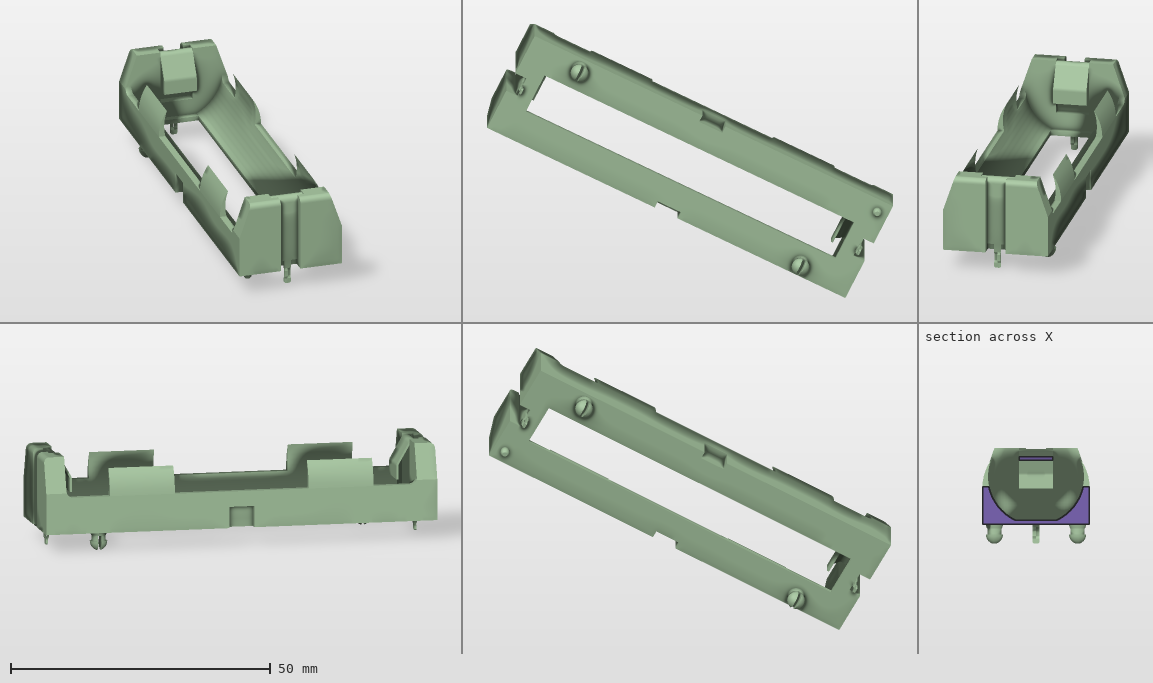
import cadquery as cq
import math

LENGTH = 77.05
WIDTH = 20.65
HEIGHT = 14.8

END_WALL = 4.0
RAIL_TOP = 7.2
TAPER_START = 8.0
TAPER_INSET = 2.3
TOP_ROUND = 1.1
RAIL_FILLET = 1.3

CELL_RADIUS = 9.25
CELL_AXIS_Z = CELL_RADIUS
WINDOW_WIDTH = 8.1
SILL_LENGTH = 1.2
SILL_HEIGHT = 0.9

CLIP_LENGTH = 12.8
CLIP_CENTER_X = 19.6
CLIP_TOP = 12.4

NOTCH_WIDTH = 4.9
NOTCH_HEIGHT = 4.15
NOTCH_DEPTH = 1.4

PEG_X = 27.75
PEG_Y = 8.0
PEG_COLLAR_RADIUS = 1.7
PEG_COLLAR_TIP_RADIUS = 1.5
PEG_COLLAR_HEIGHT = 0.7
PEG_NECK_RADIUS = 1.4
PEG_HEAD_RADIUS = 1.7
PEG_HEAD_START = 1.85
PEG_TIP_RADIUS = 0.55
PEG_SLIT = 0.7
LEG_DEPTH = 3.6
BOSS_X = 36.3
BOSS_RADIUS = 0.85
BOSS_STRAIGHT = 0.7
BOSS_TIP_RADIUS = 0.5
BOSS_DEPTH = 1.55

SHEET = 0.4
CONTACT_WIDTH = 6.55
CONTACT_SETBACK = 2.0
CONTACT_TOP = 14.6
ROLL_RADIUS = 1.15
SPRING_REACH = 6.55
SPRING_ANGLE = 30.0
SPRING_END_Z = 6.9
TONGUE_WIDTH = 3.9
TONGUE_TOP = 4.15
TONGUE_BOTTOM = 1.15

PIN_WIDTH = 1.3
PIN_CHAMFER = 0.2
KINK_OFFSET = 0.2
KINK_START = 0.5
KINK_END = 2.6
KINK_RAMP = 0.5

HALF_LENGTH = LENGTH / 2
HALF_WIDTH = WIDTH / 2
INNER_FACE_X = HALF_LENGTH - END_WALL
RAIL_INNER_Y = math.sqrt(CELL_RADIUS**2 - (CELL_AXIS_Z - RAIL_TOP) ** 2)


def block(x_min, x_max, y_min, y_max, z_min, z_max):
    """Axis-aligned box given by its limits."""
    size = (x_max - x_min, y_max - y_min, z_max - z_min)
    return cq.Workplane("XY").box(*size, centered=False).translate((x_min, y_min, z_min))


def both_ends(shape):
    """The shape together with its mirror image at the opposite end."""
    return shape.union(shape.mirror("YZ"))


def arc_middle(start, end):
    """Middle point of an arc that leaves the start vertically and curves inward to the end."""
    inset = start[0] - end[0]
    rise = end[1] - start[1]
    radius = (inset**2 + rise**2) / (2 * inset)
    half_sweep = math.asin(rise / radius) / 2
    middle_inset = radius * (1 - math.cos(half_sweep))
    return (start[0] - middle_inset, start[1] + radius * math.sin(half_sweep))


def tapered_body():
    """Full-length bar with the tapered end-wall section and rounded top outer edges."""
    bar = (
        cq.Workplane("YZ")
        .moveTo(-HALF_WIDTH, 0)
        .lineTo(HALF_WIDTH, 0)
        .lineTo(HALF_WIDTH, TAPER_START)
        .lineTo(HALF_WIDTH - TAPER_INSET, HEIGHT)
        .lineTo(TAPER_INSET - HALF_WIDTH, HEIGHT)
        .lineTo(-HALF_WIDTH, TAPER_START)
        .close()
        .extrude(HALF_LENGTH, both=True)
    )
    return bar.faces(">Z").edges("|Y").fillet(TOP_ROUND)


def space_above_rails():
    """Open space between the end walls, filleted where it meets them at rail height."""
    space = block(-INNER_FACE_X, INNER_FACE_X, -WIDTH, WIDTH, RAIL_TOP, 2 * HEIGHT)
    return space.edges("|Y and <Z").fillet(RAIL_FILLET)


def cradle_cylinder():
    return (
        cq.Workplane("YZ")
        .center(0, CELL_AXIS_Z)
        .circle(CELL_RADIUS)
        .extrude(INNER_FACE_X, both=True)
    )


def above_cradle():
    """Space between the rails' inner top edges, so the end fillets stay on the rails."""
    return block(-INNER_FACE_X, INNER_FACE_X, -RAIL_INNER_Y, RAIL_INNER_Y, RAIL_TOP, 2 * HEIGHT)


def floor_window():
    half = WINDOW_WIDTH / 2
    return block(-INNER_FACE_X, INNER_FACE_X, -half, half, -SILL_HEIGHT, CELL_AXIS_Z)


def window_sill():
    half = WINDOW_WIDTH / 2
    return block(-INNER_FACE_X, SILL_LENGTH - INNER_FACE_X, -half, half, 0, SILL_HEIGHT)


def clip(center_x, side):
    """Clip on one rail: outside curls inward to meet the cradle radius in a sharp tip."""
    tip_y = math.sqrt(CELL_RADIUS**2 - (CLIP_TOP - CELL_AXIS_Z) ** 2)
    middle_y, middle_z = arc_middle((HALF_WIDTH, RAIL_TOP), (tip_y, CLIP_TOP))
    return (
        cq.Workplane("YZ")
        .moveTo(side * RAIL_INNER_Y, RAIL_TOP)
        .lineTo(side * HALF_WIDTH, RAIL_TOP)
        .threePointArc((side * middle_y, middle_z), (side * tip_y, CLIP_TOP))
        .threePointArc((side * CELL_RADIUS, CELL_AXIS_Z), (side * RAIL_INNER_Y, RAIL_TOP))
        .close()
        .extrude(CLIP_LENGTH / 2, both=True)
        .translate((center_x, 0, 0))
    )


def finger_notch(side):
    notch = cq.Workplane("XY").box(NOTCH_WIDTH, 2 * NOTCH_DEPTH, 2 * NOTCH_HEIGHT)
    return notch.translate((0, side * HALF_WIDTH, 0))


def contact_pocket():
    """T-shaped slot through the end wall at -X that holds a contact."""
    sheet_front = CONTACT_SETBACK - HALF_LENGTH
    half_slot = TONGUE_WIDTH / 2
    half_contact = CONTACT_WIDTH / 2
    slot = block(-LENGTH, sheet_front + SHEET, -half_slot, half_slot, -HEIGHT, 2 * HEIGHT)
    pocket = block(sheet_front, -INNER_FACE_X, -half_contact, half_contact, TONGUE_TOP, 2 * HEIGHT)
    return slot.union(pocket)


def snap_peg():
    """Split peg hanging below the seating face."""
    head_edge = (PEG_HEAD_RADIUS, -PEG_HEAD_START)
    tip_edge = (PEG_TIP_RADIUS, -LEG_DEPTH)
    peg = (
        cq.Workplane("XZ")
        .moveTo(0, 0)
        .lineTo(PEG_COLLAR_RADIUS, 0)
        .lineTo(PEG_COLLAR_TIP_RADIUS, -PEG_COLLAR_HEIGHT)
        .lineTo(PEG_NECK_RADIUS, -PEG_COLLAR_HEIGHT)
        .lineTo(PEG_NECK_RADIUS, -PEG_HEAD_START)
        .lineTo(*head_edge)
        .threePointArc(arc_middle(head_edge, tip_edge), tip_edge)
        .lineTo(0, -LEG_DEPTH)
        .close()
        .revolve(360, (0, 0, 0), (0, 1, 0))
    )
    half = PEG_SLIT / 2
    reach = 2 * PEG_HEAD_RADIUS
    return peg.cut(block(-half, half, -reach, reach, -2 * LEG_DEPTH, -PEG_COLLAR_HEIGHT))


def locating_boss():
    """Small cylinder with a domed end below the seating face."""
    dome_edge = (BOSS_RADIUS, -BOSS_STRAIGHT)
    tip_edge = (BOSS_TIP_RADIUS, -BOSS_DEPTH)
    return (
        cq.Workplane("XZ")
        .moveTo(0, 0)
        .lineTo(BOSS_RADIUS, 0)
        .lineTo(*dome_edge)
        .threePointArc(arc_middle(dome_edge, tip_edge), tip_edge)
        .lineTo(0, -BOSS_DEPTH)
        .close()
        .revolve(360, (0, 0, 0), (0, 1, 0))
    )


def make_housing():
    body = tapered_body().cut(space_above_rails())
    body = body.cut(cradle_cylinder()).cut(above_cradle()).cut(floor_window())
    body = body.union(both_ends(window_sill()))
    for side in (-1, 1):
        body = body.cut(finger_notch(side))
        for center_x in (-CLIP_CENTER_X, CLIP_CENTER_X):
            body = body.union(clip(center_x, side))
    body = body.cut(both_ends(contact_pocket()))
    for end in (-1, 1):
        body = body.union(snap_peg().translate((end * PEG_X, end * PEG_Y, 0)))
    return body.union(locating_boss().translate((BOSS_X, -PEG_Y, 0)))


def spring_sheet():
    """Sheet rolled over at the top, sloping inward to a vertical spring face.

    Drawn in XZ with X = 0 on the sheet's outer face.
    """
    angle = math.radians(SPRING_ANGLE)
    reach = SPRING_REACH - CONTACT_SETBACK
    roll_z = CONTACT_TOP - ROLL_RADIUS
    inner_radius = ROLL_RADIUS - SHEET

    def on_roll(radius, direction):
        return (ROLL_RADIUS + radius * math.cos(direction), roll_z + radius * math.sin(direction))

    slope_x, slope_z = on_roll(ROLL_RADIUS, angle)
    bend_z = slope_z - (reach - slope_x) / math.tan(angle)
    inner_bend_z = bend_z - SHEET * math.tan(angle / 2)
    sheet = (
        cq.Workplane("XZ")
        .moveTo(0, TONGUE_TOP)
        .lineTo(0, roll_z)
        .threePointArc(on_roll(ROLL_RADIUS, math.pi / 2), (slope_x, slope_z))
        .lineTo(reach, bend_z)
        .lineTo(reach, SPRING_END_Z)
        .lineTo(reach - SHEET, SPRING_END_Z)
        .lineTo(reach - SHEET, inner_bend_z)
        .lineTo(*on_roll(inner_radius, angle))
        .threePointArc(on_roll(inner_radius, math.pi / 2), (SHEET, roll_z))
        .lineTo(SHEET, TONGUE_TOP)
        .close()
        .extrude(CONTACT_WIDTH / 2, both=True)
    )
    outer_bend = cq.selectors.NearestToPointSelector((reach, 0, bend_z))
    inner_bend = cq.selectors.NearestToPointSelector((reach - SHEET, 0, inner_bend_z))
    sheet = sheet.edges("|Y").edges(outer_bend).fillet(ROLL_RADIUS)
    return sheet.edges("|Y").edges(inner_bend).fillet(inner_radius)


def pin_half(side, offset):
    """One lengthwise half of the pin, kinked sideways by the offset."""
    kink_top = -KINK_START - KINK_RAMP
    kink_bottom = -KINK_END + KINK_RAMP
    strip = (
        cq.Workplane("XZ")
        .moveTo(0, TONGUE_BOTTOM)
        .lineTo(0, -KINK_START)
        .lineTo(offset, kink_top)
        .lineTo(offset, kink_bottom)
        .lineTo(0, -KINK_END)
        .lineTo(0, -LEG_DEPTH)
        .lineTo(SHEET, -LEG_DEPTH)
        .lineTo(SHEET, -KINK_END)
        .lineTo(SHEET + offset, kink_bottom)
        .lineTo(SHEET + offset, kink_top)
        .lineTo(SHEET, -KINK_START)
        .lineTo(SHEET, TONGUE_BOTTOM)
        .close()
        .extrude(-side * PIN_WIDTH / 2)
    )
    outer_corner = strip.faces("<Z").edges(">Y" if side > 0 else "<Y")
    return outer_corner.chamfer(PIN_CHAMFER)


def make_contact():
    """Contact at the -X end: spring sheet, narrower tongue and kinked pin."""
    half_tongue = TONGUE_WIDTH / 2
    tongue = block(0, SHEET, -half_tongue, half_tongue, TONGUE_BOTTOM, TONGUE_TOP)
    contact = spring_sheet().union(tongue)
    contact = contact.union(pin_half(-1, -KINK_OFFSET)).union(pin_half(1, KINK_OFFSET))
    return contact.translate((CONTACT_SETBACK - HALF_LENGTH, 0, 0))


housing = make_housing()
left_contact = make_contact()
contacts = [left_contact, left_contact.mirror("YZ")]

result = cq.Compound.makeCompound([housing.val(), *[contact.val() for contact in contacts]])